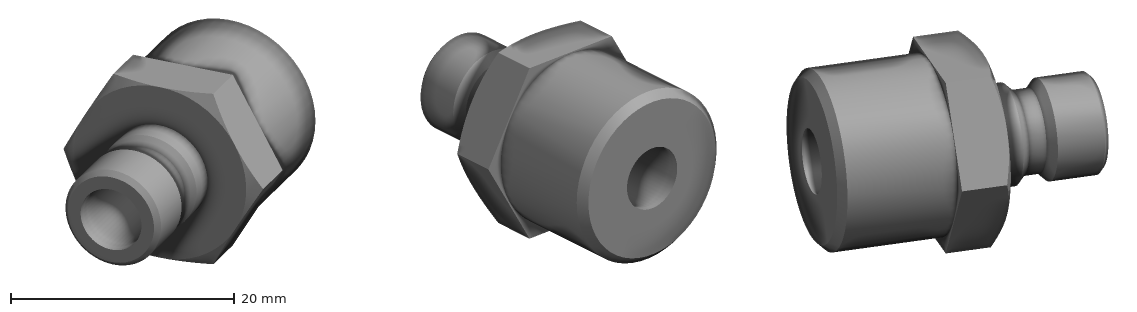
import cadquery as cq
import math

total_length = 26.5
hex_front = 10.5
hex_back = 15.48
across_flats = 17.0
hex_chamfer_angle = 30.0

bore_diameter = 6.0

plug_diameter = 9.4
tip_chamfer = 0.48
groove_diameter = 7.8
groove_floor_start = 5.7
groove_floor_end = 7.31

body_diameter = 16.7
body_chamfer = 0.75

flat_radius = across_flats / 2
corner_radius = flat_radius / math.cos(math.radians(30))
hex_chamfer_length = (corner_radius - flat_radius) * math.tan(math.radians(hex_chamfer_angle))
plug_radius = plug_diameter / 2
groove_radius = groove_diameter / 2
groove_depth = plug_radius - groove_radius
body_radius = body_diameter / 2


def revolve_profile(points):
    """Revolve a closed (radius, Y) outline about the Y axis."""
    return cq.Workplane("XY").polyline(points).close().revolve(360, (0, 0, 0), (0, 1, 0))


def make_plug():
    """Plug end with a chamfered tip and a groove with 45 degree walls."""
    return revolve_profile([
        (0, 0),
        (plug_radius - tip_chamfer, 0),
        (plug_radius, tip_chamfer),
        (plug_radius, groove_floor_start - groove_depth),
        (groove_radius, groove_floor_start),
        (groove_radius, groove_floor_end),
        (plug_radius, groove_floor_end + groove_depth),
        (plug_radius, hex_back),
        (0, hex_back),
    ])


def make_hex():
    """Hexagon with corners on X, its front corners cut by a cone."""
    prism = (
        cq.Workplane("XZ", origin=(0, hex_back, 0))
        .polygon(6, 2 * corner_radius)
        .extrude(hex_back - hex_front)
    )
    envelope = revolve_profile([
        (0, hex_front),
        (flat_radius, hex_front),
        (corner_radius, hex_front + hex_chamfer_length),
        (corner_radius, hex_back),
        (0, hex_back),
    ])
    return prism.intersect(envelope)


def make_body():
    """Plain cylindrical body with a chamfered back end."""
    return revolve_profile([
        (0, hex_front + hex_chamfer_length),
        (body_radius, hex_front + hex_chamfer_length),
        (body_radius, total_length - body_chamfer),
        (body_radius - body_chamfer, total_length),
        (0, total_length),
    ])


bore = cq.Workplane("XZ").circle(bore_diameter / 2).extrude(-total_length)

result = make_hex().union(make_plug()).union(make_body()).cut(bore)